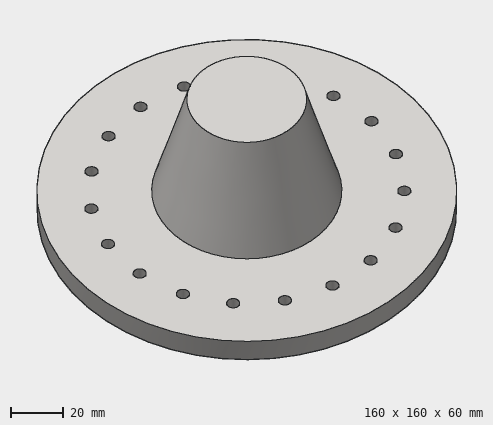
import cadquery as cq

flange_diameter = 160.0
total_height = 60.0

flange_thickness = 10.0
hub_base_diameter = 72.5
hub_top_diameter = 45.6
hub_height = total_height - flange_thickness

hole_count = 19
hole_diameter = 5.0
hole_circle_diameter = 120.0


def make_flange():
    """Round plate with its bottom face on Z = 0."""
    return cq.Workplane("XY").circle(flange_diameter / 2).extrude(flange_thickness)


def make_hub():
    """Solid truncated cone standing on the flange."""
    cone = cq.Solid.makeCone(
        hub_base_diameter / 2,
        hub_top_diameter / 2,
        hub_height,
        pnt=cq.Vector(0, 0, flange_thickness),
    )
    return cq.Workplane("XY").add(cone)


def make_hole_cutters():
    """Equally spaced cylinders passing through the flange."""
    return (
        cq.Workplane("XY")
        .polarArray(hole_circle_diameter / 2, 0, 360, hole_count)
        .circle(hole_diameter / 2)
        .extrude(flange_thickness)
    )


result = make_flange().union(make_hub()).cut(make_hole_cutters())